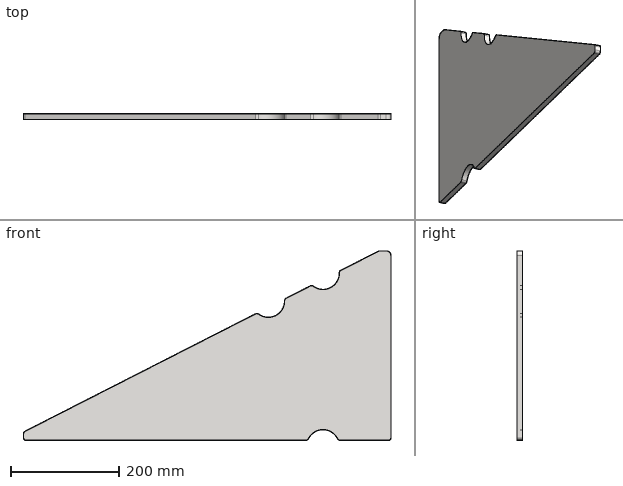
import cadquery as cq
import math

length = 678.5
thickness = 11.0
height = 350.0
tip_height = 15.5
slope_angle = 27.0

notch_radius = 30.0
notch_offset = 10.0
bottom_notch_x = 553.0
slope_notch_xs = (452.0, bottom_notch_x)

notch_mouth_radius = 5.5
corner_radius = 5.0
top_corner_radius = 9.0
slope_end_radius = 11.5

slope = math.tan(math.radians(slope_angle))
slope_end_x = (height - tip_height) / slope


def sloped_edge_z(x):
    """Height of the sloped edge at x."""
    return tip_height + slope * x


def make_blank():
    """Flat panel with rounded corners, before the notches are cut."""
    outline = [
        (0, 0),
        (length, 0),
        (length, height),
        (slope_end_x, height),
        (0, tip_height),
    ]
    blank = cq.Workplane("XZ").polyline(outline).close().extrude(-thickness)
    blank = blank.edges("|Y and >X and >Z").fillet(top_corner_radius)
    slope_end = cq.selectors.NearestToPointSelector((slope_end_x, thickness / 2, height))
    blank = blank.edges("|Y").edges(slope_end).fillet(slope_end_radius)
    return blank.edges("|Y and (<X or <Z)").fillet(corner_radius)


def notch_centers():
    """Centres of the bottom notch and of the notches along the sloped edge."""
    rise = notch_offset / math.cos(math.radians(slope_angle))
    on_slope = [(x, sloped_edge_z(x) + rise) for x in slope_notch_xs]
    return [(bottom_notch_x, -notch_offset)] + on_slope


def cut_notch(panel, center):
    """Cut one round notch through the panel and round its two mouth edges."""
    x, z = center
    cutter = cq.Workplane("XZ").center(x, z).circle(notch_radius).extrude(-thickness)
    panel = panel.cut(cutter)
    reach = notch_radius + notch_mouth_radius
    mouth = cq.selectors.BoxSelector(
        (x - reach, 0, z - reach), (x + reach, thickness, z + reach)
    )
    return panel.edges("|Y").edges(mouth).fillet(notch_mouth_radius)


result = make_blank()
for notch_center in notch_centers():
    result = cut_notch(result, notch_center)